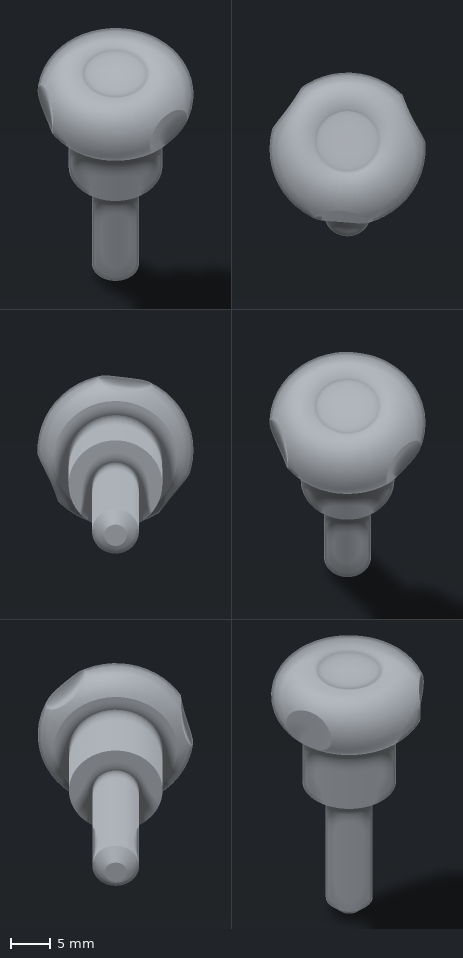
import cadquery as cq
import math

total_height = 38.0
head_diameter = 20.0
head_height = 7.98
hub_diameter = 12.0
hub_height = 10.0
pin_diameter = 6.0
pin_chamfer = 1.55

rim_radius = 4.3
crown_flat_diameter = 7.98

scallop_count = 3
scallop_radius = 15.0
scallop_floor_distance = 8.95
first_scallop_angle = -90.0

pin_length = total_height - head_height - hub_height
head_base = pin_length + hub_height


def make_head():
    """Revolved head: rounded rim, flat underside and a shallow flat dish in the crown."""
    rim_center_r = head_diameter / 2 - rim_radius
    rim_center_z = total_height - rim_radius
    underside_drop = rim_center_z - head_base
    underside_r = rim_center_r + math.sqrt(rim_radius**2 - underside_drop**2)
    dish_r = crown_flat_diameter / 2
    dish_z = rim_center_z + math.sqrt(rim_radius**2 - (rim_center_r - dish_r) ** 2)
    return (
        cq.Workplane("XZ")
        .moveTo(0, head_base)
        .lineTo(underside_r, head_base)
        .threePointArc((head_diameter / 2, rim_center_z), (dish_r, dish_z))
        .lineTo(0, dish_z)
        .close()
        .revolve(360, (0, 0, 0), (0, 1, 0))
    )


def make_scallops():
    """Upright cylinders that cut evenly spaced finger grips into the rim."""
    return (
        cq.Workplane("XY")
        .workplane(offset=head_base)
        .polarArray(scallop_floor_distance + scallop_radius, first_scallop_angle, 360, scallop_count)
        .circle(scallop_radius)
        .extrude(head_height)
    )


def make_hub():
    return cq.Workplane("XY").workplane(offset=pin_length).circle(hub_diameter / 2).extrude(hub_height)


def make_pin():
    pin = cq.Workplane("XY").circle(pin_diameter / 2).extrude(pin_length)
    return pin.faces("<Z").chamfer(pin_chamfer)


head = make_head().cut(make_scallops())
result = head.union(make_hub()).union(make_pin())